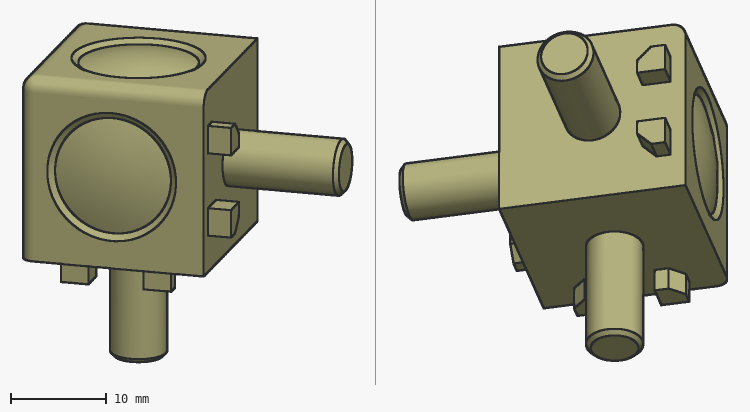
import cadquery as cq
import math

cube_size = 20.0
edge_radius = 1.5

stud_diameter = 6.0
stud_length = 12.5
stud_chamfer = 0.5

key_size = 3.0
key_height = 2.5
key_corner_cut = key_size / 2
key_outer_span = 12.0
key_far_offset = 8.4

recess_diameter = 14.0
recess_floor_diameter = 12.6
recess_depth = 0.5
cap_crown = 0.5

half_cube = cube_size / 2
recess_floor_radius = recess_floor_diameter / 2
recess_wall_angle = math.degrees(math.atan2(recess_diameter / 2 - recess_floor_radius, recess_depth))
cap_height = recess_depth + cap_crown
dome_radius = (recess_floor_radius**2 + cap_height**2) / (2 * cap_height)

stud_faces = [
    (cq.Vector(1, 0, 0), cq.Vector(0, -1, 0)),
    (cq.Vector(0, 1, 0), cq.Vector(-1, 0, 0)),
    (cq.Vector(0, 0, -1), cq.Vector(0, -1, 0)),
]


def face_plane(outward, up):
    """Plane on the cube face in the outward direction, with its local Y along up."""
    return cq.Plane(origin=outward * half_cube, xDir=up.cross(outward), normal=outward)


def rounded_cube():
    """Cube with the three edges that meet at (-X, -Y, +Z) rounded."""
    cube = cq.Workplane("XY").box(cube_size, cube_size, cube_size)
    return cube.edges("(<X and <Y) or (<X and >Z) or (<Y and >Z)").fillet(edge_radius)


def stud(plane):
    """Round stud standing on the plane, chamfered at its free end."""
    bar = cq.Workplane(plane).circle(stud_diameter / 2).extrude(stud_length)
    return bar.faces(cq.selectors.DirectionMinMaxSelector(plane.zDir, True)).chamfer(stud_chamfer)


def key_pair(plane):
    """Two square keys on the plane, each with its outer corner nearest the stud cut at 45 degrees."""
    outer = key_outer_span / 2
    inner = outer - key_size
    far = key_far_offset
    near = far - key_size
    keys = cq.Workplane(plane)
    for side in (-1, 1):
        keys = keys.polyline([
            (side * outer, far),
            (side * inner, far),
            (side * inner, near),
            (side * (outer - key_corner_cut), near),
            (side * outer, near + key_corner_cut),
        ]).close()
    return keys.extrude(key_height)


def cap_recess(plane):
    """Shallow recess in the plane, with a conical wall and a flat floor."""
    return cq.Workplane(plane).circle(recess_diameter / 2).extrude(-recess_depth, taper=recess_wall_angle)


def cap(plane):
    """Domed cap that stands on the recess floor: the part of a ball above the floor."""
    ball_centre = plane.origin + plane.zDir * (cap_crown - dome_radius)
    ball_plane = cq.Plane(origin=ball_centre, xDir=-plane.zDir, normal=plane.xDir)
    ball = cq.Workplane(ball_plane).sphere(dome_radius)
    above_floor = (
        cq.Workplane(plane)
        .workplane(offset=-recess_depth)
        .circle(recess_diameter / 2)
        .extrude(2 * cap_height)
    )
    return ball.intersect(above_floor)


housing = rounded_cube()
caps = []
for outward, key_side in stud_faces:
    stud_plane = face_plane(outward, key_side)
    cap_plane = face_plane(-outward, key_side)
    housing = housing.union(stud(stud_plane)).union(key_pair(stud_plane))
    housing = housing.cut(cap_recess(cap_plane))
    caps.append(cap(cap_plane))

result = cq.Compound.makeCompound([housing.val(), *[each.val() for each in caps]])